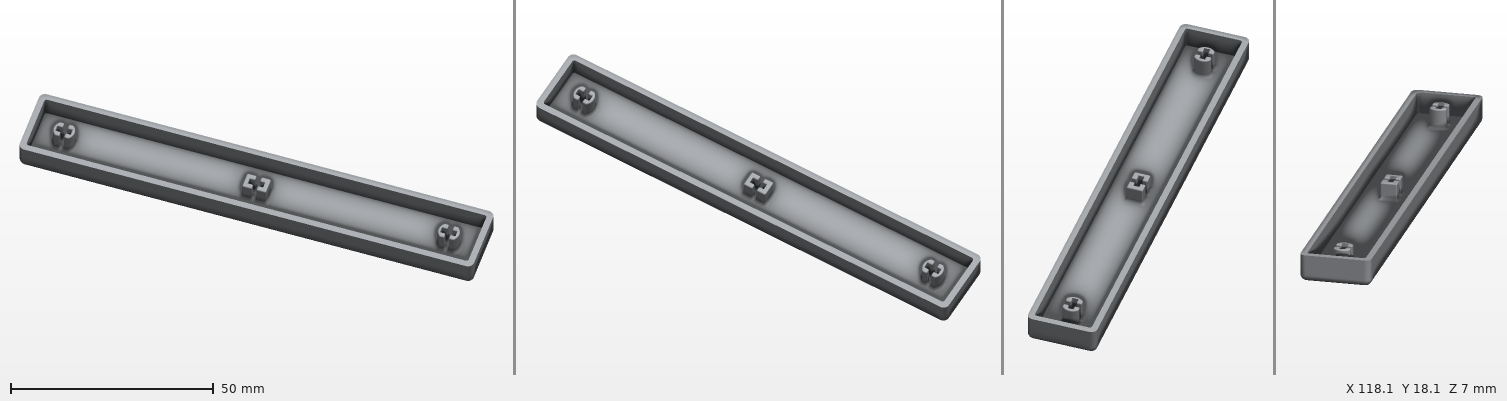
import cadquery as cq

LENGTH = 118.06
WIDTH = 18.05
HEIGHT = 7.0
WALL = 1.6
FLOOR = 1.5
OUTER_FILLET = WALL
CAVITY_CORNER_RADIUS = 0.6

END_STEM_OFFSET = 50.0
CENTRE_STEM_TOP = 6.0
END_STEM_TOP = 6.8
STEM_WIDTH = 4.25
CENTRE_STEM_LENGTH = 6.25
END_STEM_DIAMETER = 5.5
ROOT_FILLET = 0.9
CORNER_FILLET = 0.36
TOP_FILLET = 0.35

X_ARM_LENGTH = 4.0
X_ARM_WIDTH = 1.4
Y_ARM_WIDTH = 1.2

PAD_THICKNESS = FLOOR / 2
REACH = CENTRE_STEM_LENGTH
OVERLAP = 1.0
TOLERANCE = 0.01


def block(x_min, x_max, y_min, y_max, z_min, z_max):
    """Box between the given limits."""
    size = (x_max - x_min, y_max - y_min, z_max - z_min)
    return cq.Workplane("XY").box(*size, centered=False).translate((x_min, y_min, z_min))


def centres_in(x_min, x_max, y_min, y_max, z_min, z_max):
    """Selector of the edges whose centre lies between the given limits."""
    low = (x_min - TOLERANCE, y_min - TOLERANCE, z_min - TOLERANCE)
    high = (x_max + TOLERANCE, y_max + TOLERANCE, z_max + TOLERANCE)
    return cq.selectors.BoxSelector(low, high)


def make_tray():
    """Box with rounded sides and bottom, hollowed from the top."""
    shell = cq.Workplane("XY").box(LENGTH, WIDTH, HEIGHT, centered=(True, True, False))
    shell = shell.edges("|Z or <Z").fillet(OUTER_FILLET)
    cavity = (
        cq.Workplane("XY", origin=(0, 0, FLOOR))
        .rect(LENGTH - 2 * WALL, WIDTH - 2 * WALL)
        .extrude(HEIGHT - FLOOR)
        .edges("|Z")
        .fillet(CAVITY_CORNER_RADIUS)
    )
    return shell.cut(cavity)


def make_centre_blank(height):
    """Plain rectangular post standing on z = 0."""
    return cq.Workplane("XY").rect(CENTRE_STEM_LENGTH, STEM_WIDTH).extrude(height)


def make_end_blank(height):
    """Cylinder with a flat on each Y side, standing on z = 0."""
    cylinder = cq.Workplane("XY").circle(END_STEM_DIAMETER / 2).extrude(height)
    flats = cq.Workplane("XY").rect(END_STEM_DIAMETER, STEM_WIDTH).extrude(height)
    return cylinder.intersect(flats)


def make_stem(blank, height):
    """Stem with a cross socket, standing on the tray floor.

    The root fillets are wider than half a socket arm, so one quarter is filleted
    on its own, trimmed at x = 0 and y = 0, and mirrored. Before trimming, the
    quarter reaches past y = 0 to -OVERLAP to carry its fillets across that plane.
    """
    arm_end = X_ARM_LENGTH / 2
    arm_side = X_ARM_WIDTH / 2
    slot_side = Y_ARM_WIDTH / 2
    quarter = blank.intersect(block(slot_side, REACH, -OVERLAP, REACH, 0, height))
    quarter = quarter.cut(block(slot_side, arm_end, -OVERLAP, arm_side, 0, height))

    arm_end_wall = centres_in(arm_end, arm_end, -OVERLAP, arm_side, 0, height)
    overlap_end = centres_in(slot_side, REACH, -OVERLAP, -OVERLAP, 0, height)
    sharp = arm_end_wall + overlap_end
    upright = cq.selectors.ParallelDirSelector(cq.Vector(0, 0, 1))
    quarter = quarter.edges(upright - sharp).fillet(CORNER_FILLET)
    quarter = quarter.faces(">Z").edges(-sharp).fillet(TOP_FILLET)

    pad = block(-REACH, REACH, -REACH, REACH, -PAD_THICKNESS, 0)
    inside = REACH - 2 * TOLERANCE
    root = centres_in(-inside, inside, -inside, inside, 0, 0)
    quarter = pad.union(quarter).edges(root).fillet(ROOT_FILLET)

    quarter = quarter.intersect(block(0, REACH, 0, REACH, -PAD_THICKNESS, height))
    half = quarter.union(quarter.mirror("XZ"))
    return half.union(half.mirror("YZ")).translate((0, 0, FLOOR))


def make_centre_stem():
    height = CENTRE_STEM_TOP - FLOOR
    return make_stem(make_centre_blank(height), height)


def make_end_stem():
    height = END_STEM_TOP - FLOOR
    return make_stem(make_end_blank(height), height)


result = make_tray().union(make_centre_stem())
end_stem = make_end_stem()
for x in (-END_STEM_OFFSET, END_STEM_OFFSET):
    result = result.union(end_stem.translate((x, 0, 0)))